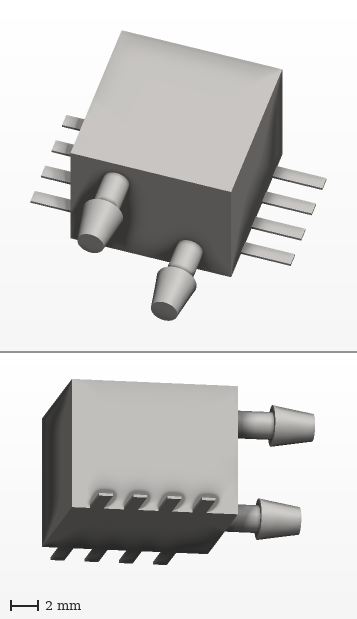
import cadquery as cq

HOUSING_WIDTH = 12.32
HOUSING_DEPTH = 12.32
HOUSING_HEIGHT = 9.65

OVERALL_WIDTH = 19.95
LEAD_LENGTH = (OVERALL_WIDTH - HOUSING_WIDTH) / 2
LEAD_WIDTH = 1.02
LEAD_THICKNESS = 0.2
LEAD_PITCH = 2.54
LEADS_PER_SIDE = 4
LEAD_ROW_CENTER_Y = 0.51

OVERALL_DEPTH = 18.51
PORT_LENGTH = OVERALL_DEPTH - HOUSING_DEPTH
BARB_LENGTH = 3.05
STEM_LENGTH = PORT_LENGTH - BARB_LENGTH
STEM_DIAMETER = 2.03
BARB_BASE_DIAMETER = 3.05
BARB_TIP_DIAMETER = STEM_DIAMETER
PORT_SPACING = 5.64
LOWER_PORT_X = 2.99
LOWER_PORT_Z = 2.0
PORT_CENTERS = [
    (LOWER_PORT_X, LOWER_PORT_Z),
    (LOWER_PORT_X - PORT_SPACING, LOWER_PORT_Z + PORT_SPACING),
]


def make_port(x, z):
    """Solid hose port: a round stem ending in a barb that tapers toward the tip."""
    face_y = -HOUSING_DEPTH / 2
    profile = (
        cq.Workplane("XY")
        .moveTo(0, 0)
        .lineTo(STEM_DIAMETER / 2, 0)
        .lineTo(STEM_DIAMETER / 2, -STEM_LENGTH)
        .lineTo(BARB_BASE_DIAMETER / 2, -STEM_LENGTH)
        .lineTo(BARB_TIP_DIAMETER / 2, -PORT_LENGTH)
        .lineTo(0, -PORT_LENGTH)
        .close()
    )
    port = profile.revolve(360, (0, 0, 0), (0, 1, 0))
    return port.translate((x, face_y, z))


def make_housing():
    """Rectangular block standing on Z = 0, with its hose ports."""
    housing = cq.Workplane("XY").box(
        HOUSING_WIDTH, HOUSING_DEPTH, HOUSING_HEIGHT, centered=(True, True, False)
    )
    for x, z in PORT_CENTERS:
        housing = housing.union(make_port(x, z))
    return housing


def make_lead(side, y):
    """Flat lead flush with the housing bottom; side is -1 for -X and +1 for +X."""
    center_x = side * (HOUSING_WIDTH + LEAD_LENGTH) / 2
    lead = cq.Workplane("XY").box(
        LEAD_LENGTH, LEAD_WIDTH, LEAD_THICKNESS, centered=(True, True, False)
    )
    return lead.translate((center_x, y, 0))


housing = make_housing()

leads = []
for side in (-1, 1):
    for index in range(LEADS_PER_SIDE):
        row_offset = (index - (LEADS_PER_SIDE - 1) / 2) * LEAD_PITCH
        leads.append(make_lead(side, LEAD_ROW_CENTER_Y + row_offset))

result = cq.Compound.makeCompound([housing.val(), *[lead.val() for lead in leads]])